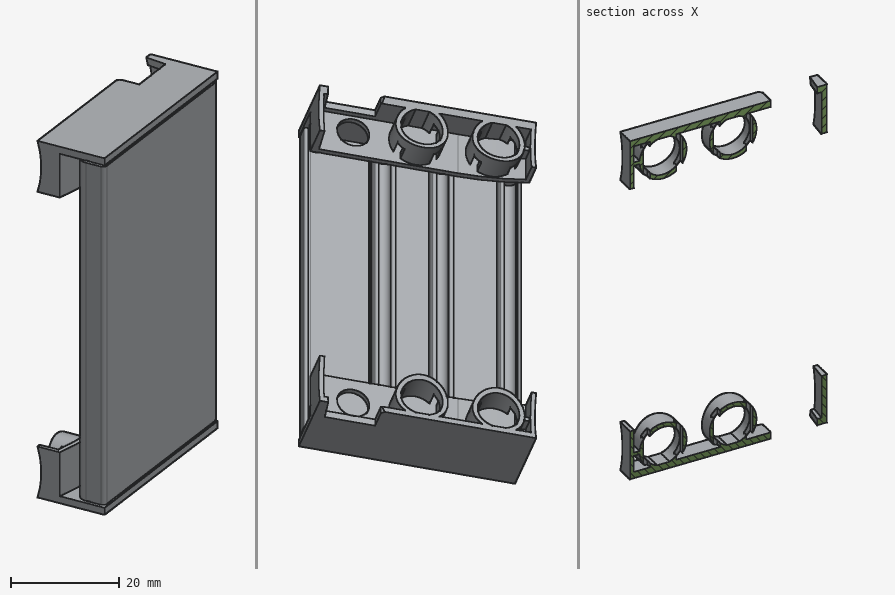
import cadquery as cq
import math

DEPTH = 14.3
WIDTH = 41.45
HEIGHT = 73.5

PLATE_THICKNESS = 1.5
CAP_HEIGHT = 10.5
WALL_FRONT = 5.5
WALL_THICKNESS = 1.0
WALL_BACK = WALL_FRONT + WALL_THICKNESS
SIDE_WALL_THICKNESS = 0.9
SIDE_WALL_BACK = 4.8
BEND_START_Y = -7.2
FRONT_SAG = 0.8

NOTCH_DEPTH = 4.5
NOTCH_LOW_Y = 8.9
NOTCH_HIGH_Y = 18.5
NOTCH_MOUTH_Y = 19.1
NOTCH_CHAMFER = 0.6
TALL_WALL_MOUTH_Y = 19.85
TALL_WALL_ROOT_Y = 19.3

SOCKET_DIAMETER = 10.0
SOCKET_BORE = 8.0
SOCKET_YS = (0.95, -13.75)
SLOT_INNER = 2.8
SLOT_OUTER = 4.1
SLOT_DEPTH = 2.8
RIB_THICKNESS = 0.8
RIB_FRONT = 1.5
RIB_OVERLAP = 0.2
HOLE_DIAMETER = 6.2
HOLE_Y = 12.8

PEG_DIAMETER = 2.7
PEG_RADIUS = PEG_DIAMETER / 2
PEG_X = 10.4
PEG_LENGTH = 5.0
HOOK_PEG_Y = 18.45
EDGE_PEG_Y = -HOOK_PEG_Y
INNER_PEG_YS = (5.6, -5.45)
PEG_YS = (HOOK_PEG_Y, *INNER_PEG_YS, EDGE_PEG_Y)

END_GAP = 0.45
PANEL_FRONT = PEG_X + PEG_RADIUS
PANEL_EDGE_FILLET = 0.8
CHANNEL_OUTER_RADIUS = 2.3
PANEL_HIGH_Y = HOOK_PEG_Y + CHANNEL_OUTER_RADIUS
PANEL_LOW_Y = EDGE_PEG_Y - CHANNEL_OUTER_RADIUS
LIP_RADIUS = (CHANNEL_OUTER_RADIUS - PEG_RADIUS) / 2
LIP_CIRCLE_RADIUS = PEG_RADIUS + LIP_RADIUS
LIP_ANGLE = math.radians(28)
EDGE_LIP_FRONT = 8.4
EDGE_LIP_OFFSET = 1.1
HOOK_FILLET = 0.7
HOOK_FLOOR = 12.4
HOOK_TIP_X = 11.1

HALF_WIDTH = WIDTH / 2
HALF_HEIGHT = HEIGHT / 2
PLATE_INSIDE = HALF_HEIGHT - PLATE_THICKNESS
CAP_OPEN_Z = HALF_HEIGHT - CAP_HEIGHT
CAP_MIDDLE_Z = HALF_HEIGHT - CAP_HEIGHT / 2
PANEL_HALF_LENGTH = PLATE_INSIDE - END_GAP


def block(x_range, y_range, z_range):
    """Box between the given limits on each axis."""
    size = [high - low for low, high in (x_range, y_range, z_range)]
    corner = (x_range[0], y_range[0], z_range[0])
    return cq.Workplane("XY").box(*size, centered=False).translate(corner)


def rod_along_x(diameter, y, x_start, x_end):
    """Cylinder parallel to X at the middle height of the upper cap."""
    plane = cq.Workplane("YZ", origin=(x_start, y, CAP_MIDDLE_Z))
    return plane.circle(diameter / 2).extrude(x_end - x_start)


def cap_plate():
    """End plate with the open corner next to the +Y side wall."""
    return (
        cq.Workplane("XY", origin=(0, 0, PLATE_INSIDE))
        .moveTo(0, -HALF_WIDTH)
        .lineTo(DEPTH, -HALF_WIDTH)
        .lineTo(DEPTH, HALF_WIDTH)
        .lineTo(0, HALF_WIDTH)
        .lineTo(0, NOTCH_MOUTH_Y)
        .lineTo(NOTCH_DEPTH, NOTCH_HIGH_Y)
        .lineTo(NOTCH_DEPTH, NOTCH_LOW_Y)
        .lineTo(NOTCH_CHAMFER, NOTCH_LOW_Y)
        .lineTo(0, NOTCH_LOW_Y - NOTCH_CHAMFER)
        .close()
        .extrude(PLATE_THICKNESS)
    )


def bend_arc(thickness):
    """Radius and center X of the wall's bend, at a given distance from its back face."""
    bend_width = BEND_START_Y + HALF_WIDTH
    bend_drop = WALL_BACK - SIDE_WALL_BACK
    back_radius = (bend_width**2 + bend_drop**2) / (2 * bend_drop)
    return back_radius - thickness, WALL_BACK - back_radius


def wall_outline(thickness, low_y, high_y_front, high_y_back):
    """Space in front of the long wall, from low_y to the given Y at its front and back."""
    radius, center_x = bend_arc(thickness)

    def arc_point(y):
        return (center_x + math.sqrt(radius**2 - (y - BEND_START_Y) ** 2), y)

    straight_x = WALL_BACK - thickness
    return (
        cq.Workplane("XY", origin=(0, 0, CAP_OPEN_Z))
        .moveTo(0, low_y)
        .lineTo(*arc_point(low_y))
        .threePointArc(arc_point((low_y + BEND_START_Y) / 2), (straight_x, BEND_START_Y))
        .lineTo(straight_x, high_y_back)
        .lineTo(0, high_y_front)
        .close()
        .extrude(CAP_HEIGHT)
    )


def cap_envelope():
    """Everything between the front of the cap and the back of its walls."""
    return wall_outline(0, -HALF_WIDTH, HALF_WIDTH, HALF_WIDTH)


def cap_walls():
    """Long wall, bending forward toward -Y, and the two side walls."""
    room = wall_outline(
        WALL_THICKNESS, -HALF_WIDTH + SIDE_WALL_THICKNESS, TALL_WALL_MOUTH_Y, TALL_WALL_ROOT_Y
    )
    return cap_envelope().cut(room)


def socket(y):
    """Round socket with two slots through its sides next to the wall."""
    tube = rod_along_x(SOCKET_DIAMETER, y, 0, WALL_FRONT)
    tube = tube.cut(rod_along_x(SOCKET_BORE, y, 0, WALL_FRONT))
    for low, high in ((SLOT_INNER, SLOT_OUTER), (-SLOT_OUTER, -SLOT_INNER)):
        slot_z = (CAP_OPEN_Z, HALF_HEIGHT)
        tube = tube.cut(block((WALL_FRONT - SLOT_DEPTH, WALL_FRONT), (y + low, y + high), slot_z))
    return tube


def socket_rib():
    """Small rib between the outer socket and the -Y side wall."""
    z_range = (CAP_MIDDLE_Z - RIB_THICKNESS / 2, CAP_MIDDLE_Z + RIB_THICKNESS / 2)
    y_end = SOCKET_YS[-1] - SOCKET_DIAMETER / 2
    return block((RIB_FRONT, WALL_FRONT), (-HALF_WIDTH, y_end + RIB_OVERLAP), z_range)


def front_hollow():
    """Shallow arc along Y that hollows all front edges of the cap."""
    return (
        cq.Workplane("XZ", origin=(0, HALF_WIDTH, 0))
        .moveTo(0, CAP_OPEN_Z)
        .threePointArc((FRONT_SAG, CAP_MIDDLE_Z), (0, HALF_HEIGHT))
        .close()
        .extrude(WIDTH)
    )


def upper_cap():
    """Cap at the +Z end, with its sockets, hole and pegs."""
    cap = cap_plate().union(cap_walls())
    for y in SOCKET_YS:
        cap = cap.union(socket(y).intersect(cap_envelope()))
    cap = cap.union(socket_rib().intersect(cap_envelope()))
    cap = cap.cut(rod_along_x(HOLE_DIAMETER, HOLE_Y, WALL_FRONT, WALL_BACK))
    for y in PEG_YS:
        plane = cq.Workplane("XY", origin=(PEG_X, y, PLATE_INSIDE))
        cap = cap.union(plane.circle(PEG_RADIUS).extrude(-PEG_LENGTH))
    return cap.cut(front_hollow())


def panel_prism(sketch):
    """Extrudes an XY outline over the whole length of the panel."""
    return sketch.extrude(2 * PANEL_HALF_LENGTH).translate((0, 0, -PANEL_HALF_LENGTH))


def panel_rod(x, y, radius):
    """Cylinder along the whole panel."""
    return panel_prism(cq.Workplane("XY").center(x, y).circle(radius))


def panel_bar(x_range, y_range):
    """Box along the whole panel."""
    return block(x_range, y_range, (-PANEL_HALF_LENGTH, PANEL_HALF_LENGTH))


def rounded_lip(y, side):
    """Round end of a channel wall, raised by LIP_ANGLE from the Y direction toward the front."""
    x = PEG_X - LIP_CIRCLE_RADIUS * math.sin(LIP_ANGLE)
    return panel_rod(x, y + side * LIP_CIRCLE_RADIUS * math.cos(LIP_ANGLE), LIP_RADIUS)


def ridge(y):
    """Round rib that a channel is cut into, sunk into the panel."""
    above_floor = panel_bar((0, PANEL_FRONT), (y - CHANNEL_OUTER_RADIUS, y + CHANNEL_OUTER_RADIUS))
    return panel_rod(PEG_X, y, CHANNEL_OUTER_RADIUS).intersect(above_floor)


def mouth_sector(y):
    """Wedge that opens a channel to the front, between the middles of its two lips."""
    high_ray = (-CHANNEL_OUTER_RADIUS * math.tan(LIP_ANGLE), CHANNEL_OUTER_RADIUS)
    low_ray = (high_ray[0], -high_ray[1])
    front = -2 * CHANNEL_OUTER_RADIUS
    points = [(0, 0), high_ray, (front, high_ray[1]), (front, low_ray[1]), low_ray]
    return panel_prism(cq.Workplane("XY").polyline(points).close()).translate((PEG_X, y, 0))


def inner_channel(y):
    """Round channel between two round lips."""
    walls = ridge(y).cut(mouth_sector(y))
    for side in (1, -1):
        walls = walls.union(rounded_lip(y, side))
    return walls


def edge_channel():
    """Channel at the -Y edge, with a round lip inside and a longer, straight-cut lip outside."""
    y = EDGE_PEG_Y
    outer_lip = panel_bar((EDGE_LIP_FRONT, PEG_X), (PANEL_LOW_Y, y - EDGE_LIP_OFFSET))
    outer_root = panel_bar((PEG_X, PANEL_FRONT), (PANEL_LOW_Y, y))
    walls = ridge(y).cut(mouth_sector(y))
    walls = walls.union(rounded_lip(y, 1))
    return walls.union(ridge(y).intersect(outer_lip)).union(outer_root)


def hook():
    """Upright wall at the +Y edge, with a round top and a fillet at its root."""
    inner_y = HOOK_PEG_Y + PEG_RADIUS
    wall = panel_bar((HOOK_TIP_X, HOOK_FLOOR), (inner_y, PANEL_HIGH_Y))
    tip = panel_rod(HOOK_TIP_X, inner_y + LIP_RADIUS, LIP_RADIUS)
    fillet_x = HOOK_FLOOR - HOOK_FILLET
    fillet_y = inner_y - HOOK_FILLET
    corner = panel_bar((fillet_x, HOOK_FLOOR), (fillet_y, inner_y))
    corner = corner.cut(panel_rod(fillet_x, fillet_y, HOOK_FILLET))
    return wall.union(corner).union(tip)


def panel():
    """Flat panel with a hook, two inner channels and an edge channel along its front."""
    body = panel_bar((PANEL_FRONT, DEPTH), (PANEL_LOW_Y, PANEL_HIGH_Y))
    body = body.edges("|Z and >X").fillet(PANEL_EDGE_FILLET)
    recess_low_y = INNER_PEG_YS[0] + CHANNEL_OUTER_RADIUS
    body = body.cut(panel_bar((PANEL_FRONT, HOOK_FLOOR), (recess_low_y, PANEL_HIGH_Y)))
    body = body.union(hook()).union(edge_channel())
    for y in INNER_PEG_YS:
        body = body.union(inner_channel(y))
    for y in PEG_YS:
        body = body.cut(panel_rod(PEG_X, y, PEG_RADIUS))
    return body


top_cap = upper_cap()
bottom_cap = top_cap.mirror("XY")
panel_body = panel()

result = cq.Compound.makeCompound([top_cap.val(), bottom_cap.val(), panel_body.val()])